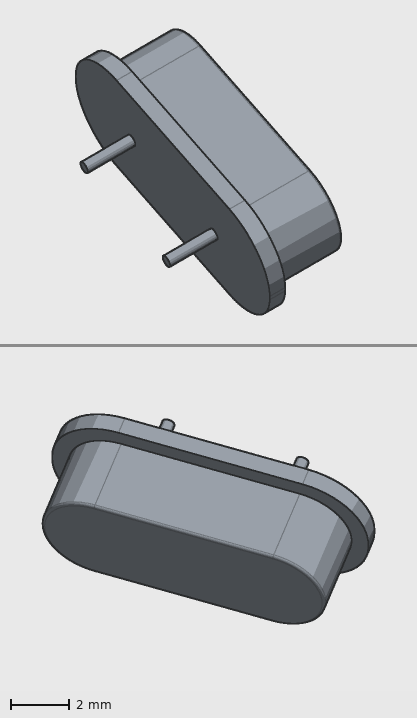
import cadquery as cq


flange_length = 11.5
flange_width = 5.0
flange_thickness = 0.65
flange_corner_radius = 2.4

can_length = 10.29
can_width = 3.8
can_edge_fillet = 0.1

lead_diameter = 0.45
lead_length = 2.0
lead_pitch = 4.88

total_depth = 5.5
can_height = total_depth - lead_length - flange_thickness


def make_flange():
    """Plate with rounded corners, standing on the XZ plane."""
    return (
        cq.Workplane("XZ")
        .rect(flange_length, flange_width)
        .extrude(-flange_thickness)
        .edges("|Y")
        .fillet(flange_corner_radius)
    )


def make_can():
    """Round-ended can rising from the flange, its far rim rounded over."""
    return (
        cq.Workplane("XZ", origin=(0, flange_thickness, 0))
        .slot2D(can_length, can_width)
        .extrude(-can_height)
        .faces(">Y")
        .edges()
        .fillet(can_edge_fillet)
    )


def make_housing():
    """The can and its flange as one body."""
    return make_flange().union(make_can())


def make_lead(x):
    """Straight round lead whose end butts against the flange."""
    return cq.Workplane("XZ").center(x, 0).circle(lead_diameter / 2).extrude(lead_length)


housing = make_housing()
leads = [make_lead(side * lead_pitch / 2) for side in (-1, 1)]

result = cq.Compound.makeCompound([housing.val(), *[lead.val() for lead in leads]])